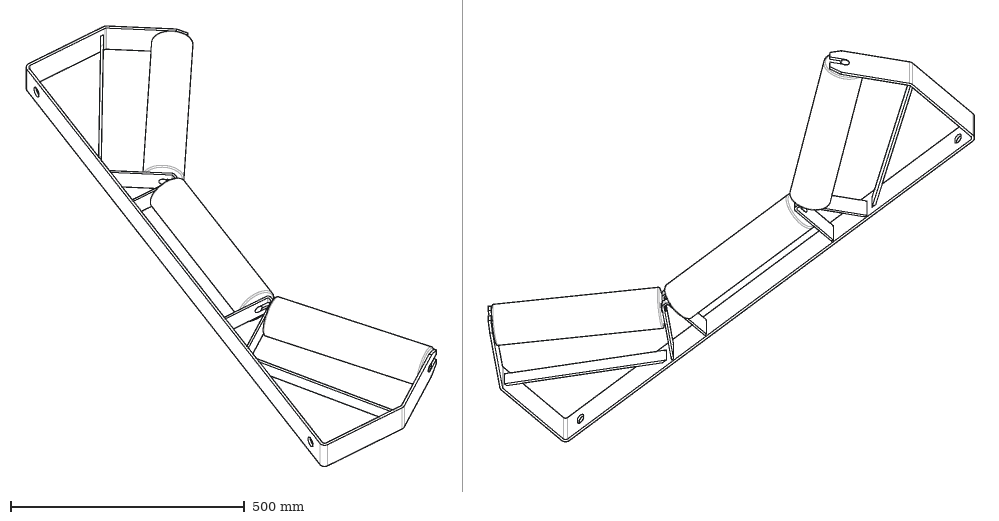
import cadquery as cq
import math

frame_thickness = 6.0
frame_height = 75.0
frame_bend_radius = 12.0
frame_width = 1210.0
side_height = 204.0
trough_angle = 35.0
arm_length = 178.0
arm_end_width = 50.0
arm_clip_length = 25.0
axis_along_arm = 145.0
mount_slot_inset = 50.0
mount_slot_width = 18.0
mount_slot_height = 25.0

roller_diameter = 89.0
roller_length = 362.0
roller_edge_radius = 3.0
roller_gap = 3.0
spindle_diameter = 18.0
middle_axis_height = 97.5
axis_drop = 6.88

bracket_thickness = 5.0
bracket_height = 50.0
bracket_bend_radius = 8.0
bracket_top = 127.0

brace_thickness = 6.0
brace_height = 35.0
brace_side_y = 193.0
brace_base_x = 308.0

half_width = frame_width / 2
slope = math.radians(trough_angle)
axis_direction = cq.Vector(math.cos(slope), -math.sin(slope), 0)
arm_direction = cq.Vector(math.sin(slope), math.cos(slope), 0)
spindle_length = roller_length + 2 * (roller_gap + bracket_thickness)
support_span = roller_length + 2 * roller_gap + (frame_thickness + bracket_thickness) / 2
roller_tilt = math.degrees(math.asin(axis_drop / support_span))
side_bend = cq.Vector(-half_width, side_height, 0)
arm_axis_point = side_bend + arm_direction * axis_along_arm
arm_to_center = frame_thickness + roller_gap + roller_length / 2
outer_roller_center = arm_axis_point + axis_direction * arm_to_center - cq.Vector(0, 0, axis_drop / 2)
middle_roller_center = cq.Vector(0, middle_axis_height, -axis_drop)


def mirrored(body):
    """Copy of a left-hand body on the right-hand side."""
    return body.mirror("YZ")


def place_on_left(shape):
    """Move a shape built along X about the origin onto the tilted left roller axis."""
    tilted = shape.rotate((0, 0, 0), (0, 1, 0), roller_tilt)
    sloped = tilted.rotate((0, 0, 0), (0, 0, 1), -trough_angle)
    return sloped.translate(outer_roller_center)


def inset_path(path, distance):
    """Path offset to its right-hand side, with sharp corners."""
    normals = []
    for start, end in zip(path, path[1:]):
        along = (end - start).normalized()
        normals.append(cq.Vector(along.y, -along.x, 0))
    inset = [path[0] + normals[0] * distance]
    for corner, before, after in zip(path[1:], normals, normals[1:]):
        inset.append(corner + (before + after) * (distance / (1 + before.dot(after))))
    inset.append(path[-1] + normals[-1] * distance)
    return inset


def bent_strap(outer_path, thickness, height, bend_radius):
    """Strap standing on edge; the path is its outer face and the thickness lies to the right of it."""
    inner_path = inset_path(outer_path, thickness)
    outline = [point.toTuple()[:2] for point in outer_path + inner_path[::-1]]
    strap = cq.Workplane("XY").polyline(outline).close().extrude(height / 2, both=True)
    for path, radius in ((outer_path, bend_radius), (inner_path, bend_radius - thickness)):
        for corner in path[1:-1]:
            strap = strap.edges(cq.selectors.NearestToPointSelector(corner.toTuple())).fillet(radius)
    return strap


def roller():
    shell = cq.Workplane("YZ", (-roller_length / 2, 0, 0)).circle(roller_diameter / 2).extrude(roller_length)
    shell = shell.faces("<X or >X").edges().fillet(roller_edge_radius)
    spindle = cq.Workplane("YZ", (-spindle_length / 2, 0, 0)).circle(spindle_diameter / 2).extrude(spindle_length)
    return shell.union(spindle)


def spindle_slots():
    """Cutter for the open-topped slots that hold both ends of a spindle."""
    slot_rise = frame_height
    half_reach = spindle_length / 2 + bracket_thickness
    round_bottom = cq.Workplane("YZ").circle(spindle_diameter / 2).extrude(half_reach, both=True)
    opening = cq.Workplane("YZ").center(slot_rise / 2, 0).rect(slot_rise, spindle_diameter)
    opening = opening.extrude(half_reach, both=True)
    return round_bottom.union(opening)


left_slots = place_on_left(spindle_slots())
middle_slots = spindle_slots().translate(middle_roller_center)


def arm_end_clips(arm_end):
    """Triangular corners cut from the end of the left arm."""
    corner = [(-arm_clip_length, frame_height / 2), (0, arm_end_width / 2), (0, frame_height / 2)]
    upper_clip = cq.Workplane("YZ").polyline(corner).close().extrude(2 * frame_thickness, both=True)
    clips = upper_clip.union(upper_clip.mirror("XY"))
    return clips.rotate((0, 0, 0), (0, 0, 1), -trough_angle).translate(arm_end)


def mount_slot():
    slot = cq.Workplane("XZ").center(mount_slot_inset - half_width, 0)
    return slot.slot2D(mount_slot_height, mount_slot_width, 90).extrude(frame_thickness, both=True)


def frame():
    arm_end = side_bend + arm_direction * arm_length
    left_path = [arm_end, side_bend, cq.Vector(-half_width, 0, 0)]
    right_path = [cq.Vector(-point.x, point.y, 0) for point in left_path]
    body = bent_strap(right_path + left_path[::-1], frame_thickness, frame_height, frame_bend_radius)
    for cutter in (arm_end_clips(arm_end), left_slots, mount_slot()):
        body = body.cut(cutter).cut(mirrored(cutter))
    return body


def left_bracket():
    leg_point = arm_axis_point + axis_direction * (arm_to_center + roller_length / 2 + roller_gap)
    run_per_rise = math.tan(slope)
    leg_foot_x = leg_point.x - leg_point.y * run_per_rise
    upright_x = -(roller_length / 2 + roller_gap)
    path = [
        cq.Vector(leg_foot_x - frame_thickness * run_per_rise, -frame_thickness, 0),
        cq.Vector(leg_foot_x + bracket_top * run_per_rise, bracket_top, 0),
        cq.Vector(upright_x, bracket_top, 0),
        cq.Vector(upright_x, -frame_thickness, 0),
    ]
    below_base_face = cq.Workplane("XY").box(frame_width, bracket_top, 2 * frame_height)
    below_base_face = below_base_face.translate((0, frame_thickness - bracket_top / 2, 0))
    body = bent_strap(path, bracket_thickness, bracket_height, bracket_bend_radius)
    body = body.translate((0, 0, -axis_drop))
    return body.cut(below_base_face).cut(left_slots).cut(middle_slots)


def left_brace():
    side_x = -half_width + frame_thickness
    brace_angle = math.atan2(brace_side_y - frame_thickness, -brace_base_x - side_x)
    half_at_side = brace_thickness / 2 / math.cos(brace_angle)
    half_at_base = brace_thickness / 2 / math.sin(brace_angle)
    outline = [
        (side_x, brace_side_y - half_at_side),
        (-brace_base_x - half_at_base, frame_thickness),
        (-brace_base_x + half_at_base, frame_thickness),
        (side_x, brace_side_y + half_at_side),
    ]
    return cq.Workplane("XY").polyline(outline).close().extrude(brace_height / 2, both=True)


bodies = [frame().val(), roller().translate(middle_roller_center).val()]
for left_body in (place_on_left(roller()), left_bracket(), left_brace()):
    bodies.append(left_body.val())
    bodies.append(mirrored(left_body).val())

result = cq.Compound.makeCompound(bodies)